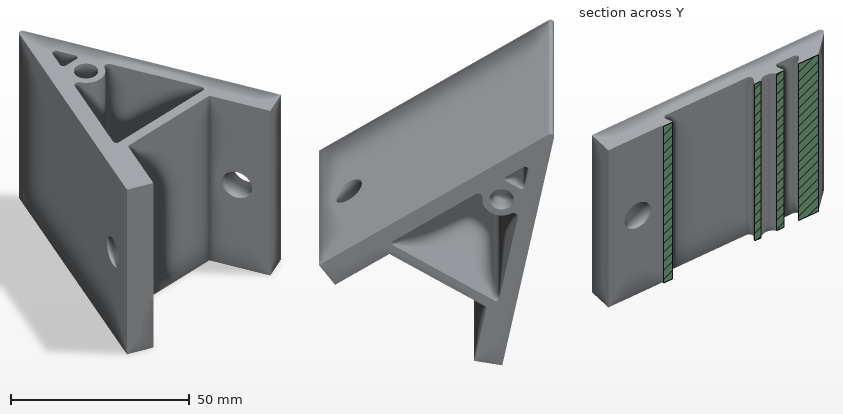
import cadquery as cq
import math

leg_angle = 45.0
leg_length = 80.0
leg_thickness = 8.0
height = 58.0
wall = 5.0
brace_distance = 60.0
brace_thickness = 3.0
apex_window_distance = 21.75
bore_diameter = 6.8
bore_distance = 27.55
boss_wall = 2.0
corner_radius = 1.0
boss_fillet_radius = 1.25
mount_hole_diameter = 9.0
mount_hole_inset = 10.0

full_angle = math.radians(leg_angle)
half_angle = full_angle / 2
boss_radius = bore_diameter / 2 + boss_wall
bore_x = bore_distance * math.cos(half_angle)
bore_y = bore_distance * math.sin(half_angle)


def mirrored(point):
    """Reflect a point across the bisector, from the lower to the upper leg."""
    x, y = point
    return (
        x * math.cos(full_angle) + y * math.sin(full_angle),
        x * math.sin(full_angle) - y * math.cos(full_angle),
    )


def crossing(distance, y):
    """Point at height y on the line square to the bisector at a given distance."""
    return ((distance - y * math.sin(half_angle)) / math.cos(half_angle), y)


def body():
    """Both legs and the brace as one solid block with a rounded apex."""
    leg_end = (leg_length, 0)
    leg_end_inner = (leg_length, leg_thickness)
    brace_foot = crossing(brace_distance, leg_thickness)
    lower = [leg_end, leg_end_inner, brace_foot]
    upper = [mirrored(point) for point in reversed(lower)]
    block = cq.Workplane("XY").polyline([(0, 0)] + lower + upper).close().extrude(height)
    return block.edges("|Z").edges("<X").fillet(corner_radius)


def apex_window():
    """Small triangular opening beside the apex."""
    tip = (wall / math.tan(half_angle), wall)
    foot = crossing(apex_window_distance, wall)
    opening = cq.Workplane("XY").polyline([tip, foot, mirrored(foot)]).close().extrude(height)
    return opening.edges("|Z").fillet(corner_radius)


def main_window():
    """Large opening between the bore boss and the brace, blended around the boss."""
    reach = boss_radius + boss_fillet_radius
    blend_y = wall + boss_fillet_radius
    blend_x = bore_x + math.sqrt(reach ** 2 - (bore_y - blend_y) ** 2)
    wall_tangent = (blend_x, wall)
    boss_ratio = boss_radius / reach
    boss_tangent = (bore_x + (blend_x - bore_x) * boss_ratio, bore_y + (blend_y - bore_y) * boss_ratio)

    to_wall = -math.pi / 2
    to_boss = math.atan2(bore_y - blend_y, bore_x - blend_x) - 2 * math.pi
    middle = (to_wall + to_boss) / 2
    blend_middle = (
        blend_x + boss_fillet_radius * math.cos(middle),
        blend_y + boss_fillet_radius * math.sin(middle),
    )
    boss_front = (
        (bore_distance + boss_radius) * math.cos(half_angle),
        (bore_distance + boss_radius) * math.sin(half_angle),
    )
    corner = crossing(brace_distance - brace_thickness, wall)

    opening = (
        cq.Workplane("XY")
        .moveTo(*wall_tangent)
        .lineTo(*corner)
        .lineTo(*mirrored(corner))
        .lineTo(*mirrored(wall_tangent))
        .threePointArc(mirrored(blend_middle), mirrored(boss_tangent))
        .threePointArc(boss_front, boss_tangent)
        .threePointArc(blend_middle, wall_tangent)
        .close()
        .extrude(height)
    )
    for x, y in (corner, mirrored(corner)):
        brace_corner = cq.selectors.NearestToPointSelector((x, y, height / 2))
        opening = opening.edges(brace_corner).fillet(corner_radius)
    return opening


def bore():
    """Round hole along Z through the boss."""
    return cq.Workplane("XY").center(bore_x, bore_y).circle(bore_diameter / 2).extrude(height)


def mount_hole():
    """Hole square through the lower leg near its end, at mid height."""
    start = cq.Vector(leg_length - mount_hole_inset, 0, height / 2)
    return cq.Solid.makeCylinder(mount_hole_diameter / 2, leg_thickness, start, cq.Vector(0, 1, 0))


lower_hole = cq.Workplane(mount_hole())
upper_hole = lower_hole.translate((0, -leg_thickness, 0)).rotate((0, 0, 0), (0, 0, 1), leg_angle)

result = body().cut(apex_window()).cut(main_window()).cut(bore())
result = result.cut(lower_hole).cut(upper_hole)